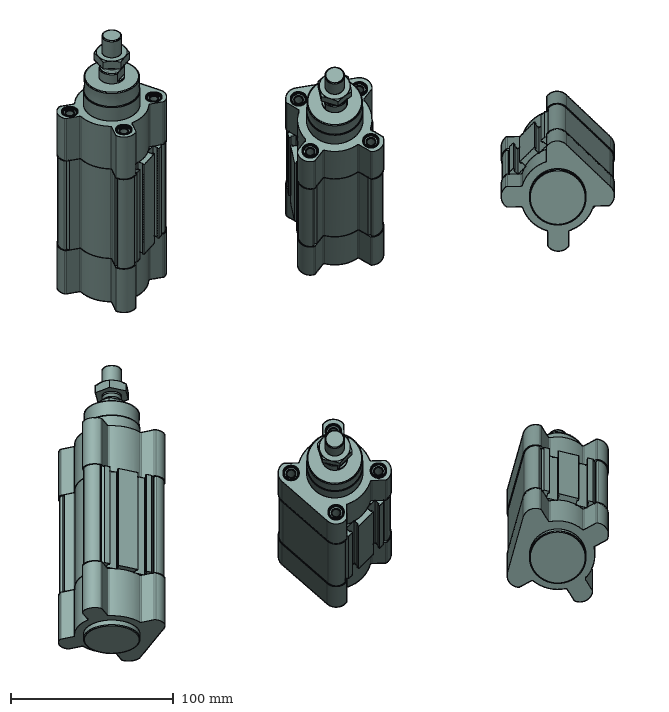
import cadquery as cq
import math

total_height = 191.9
guide_height = 3.8
rear_cap_top = 37.2
front_cap_bottom = 106.1
front_cap_top = 139.0
collar_step = 149.9
collar_top = 160.5

cap_half = 54.0 / 2
screw_pitch_half = 19.0
cap_radius = 22.8
cap_arm_half = 6.5
root_fillet = 1.0
arm_end_fillet = 1.5

barrel_half = 52.8 / 2
barrel_radius = 22.6
barrel_arm_half = 6.3
groove_wall = 17.8
groove_floor = 25.0
lip_end = 15.5
slot_low = 6.5
slot_high = 12.0
slot_undercut = 0.8
slot_lip = 1.3
slot_floor = 21.7

collar_radius = 35.0 / 2
collar_edge = 0.5
upper_collar_radius = 34.2 / 2
upper_collar_sag = 0.2

recess_diameters = (10.2, 9.0, 8.0, 6.0, 5.0)
recess_step = 0.4
drill_depth = 15.4
drill_tip_angle = 118.0

rod_radius = 16.0 / 2
rod_shoulder = 168.0
rod_edge = 0.5
flat_bottom = 161.5
flat_width = 13.0
neck_radius = 10.2 / 2
neck_fillet = 0.8
neck_top = 170.0
thread_radius = 12.0 / 2
thread_bottom = 172.0
thread_edge = 0.5

nut_bottom = 173.0
nut_height = 6.0
nut_width = 19.0
nut_chamfer_angle = 30.0

axis_start = (0, 0, 0)
axis_end = (0, 1, 0)


def diagonal_point(along, across, angle):
    """Point of an arm, measured along and across a diagonal at the given angle in degrees."""
    c = math.cos(math.radians(angle))
    s = math.sin(math.radians(angle))
    return (along * c - across * s, along * s + across * c)


def distance_from_axis(edge):
    """Distance of an upright edge from the cylinder axis."""
    return math.hypot(edge.Center().x, edge.Center().y)


def is_arm_root(edge):
    """True for the upright edges where an arm leaves the round middle."""
    return distance_from_axis(edge) < cap_radius + root_fillet


def is_arm_end(edge):
    """True for the upright edges where a flank of an arm meets its rounded corner."""
    return distance_from_axis(edge) > screw_pitch_half * math.sqrt(2)


def make_cap(bottom, top):
    """Round middle with four corner arms, the gap on the +Y side filled in flat."""
    corner_radius = cap_half - screw_pitch_half
    screw_reach = screw_pitch_half * math.sqrt(2)
    root = math.sqrt(cap_radius**2 - cap_arm_half**2)
    shoulder = screw_reach + math.sqrt(corner_radius**2 - cap_arm_half**2)
    tip = screw_reach + corner_radius

    first_root = diagonal_point(root, -cap_arm_half, 45)
    outline = cq.Workplane("XY", origin=(0, 0, bottom)).moveTo(*first_root)
    for angle in (45, 135, 225, 315):
        outline = (
            outline.lineTo(*diagonal_point(shoulder, -cap_arm_half, angle))
            .threePointArc(diagonal_point(tip, 0, angle), diagonal_point(shoulder, cap_arm_half, angle))
            .lineTo(*diagonal_point(root, cap_arm_half, angle))
            .threePointArc(
                diagonal_point(cap_radius, 0, angle + 45),
                diagonal_point(root, -cap_arm_half, angle + 90),
            )
        )
    arms = outline.close().extrude(top - bottom)
    arms = arms.edges("|Z").filter(is_arm_root).fillet(root_fillet)
    arms = arms.edges("|Z").filter(is_arm_end).fillet(arm_end_fillet)
    infill = (
        cq.Workplane("XY", origin=(0, cap_half / 2, bottom))
        .rect(2 * screw_pitch_half, cap_half)
        .extrude(top - bottom)
    )
    return arms.union(infill)


def make_barrel(bottom, top):
    """Profiled tube between the caps, with two T-slots on each of the -X and +X sides."""
    corner_radius = barrel_half - screw_pitch_half
    corner_bend = screw_pitch_half + corner_radius * math.sqrt(0.5)
    groove_round = screw_pitch_half - groove_wall
    groove_edge = barrel_half - groove_round
    groove_bend = screw_pitch_half - groove_round * math.sqrt(0.5)
    groove_bend_edge = groove_edge + groove_round * math.sqrt(0.5)
    root = math.sqrt(barrel_radius**2 - barrel_arm_half**2)
    root_x = (root - barrel_arm_half) * math.sqrt(0.5)
    root_y = (root + barrel_arm_half) * math.sqrt(0.5)
    flank_end = groove_floor - barrel_arm_half * math.sqrt(2)
    slope_end = lip_end + barrel_half - groove_floor

    side = [
        (barrel_half, slot_low),
        (barrel_half - slot_lip, slot_low),
        (barrel_half - slot_lip, slot_low - slot_undercut),
        (slot_floor, slot_low - slot_undercut),
        (slot_floor, slot_high + slot_undercut),
        (barrel_half - slot_lip, slot_high + slot_undercut),
        (barrel_half - slot_lip, slot_high),
        (barrel_half, slot_high),
        (barrel_half, lip_end),
        (groove_floor, slope_end),
        (groove_floor, groove_wall),
        (groove_edge, groove_wall),
    ]
    lower_side = [(x, -y) for x, y in reversed(side)]

    half = (
        cq.Workplane("XY", origin=(0, 0, bottom))
        .lineTo(0, -barrel_radius)
        .threePointArc(
            (root_x / 2, -math.sqrt(barrel_radius**2 - root_x**2 / 4)),
            (root_x, -root_y),
        )
        .lineTo(flank_end, -groove_floor)
        .lineTo(groove_wall, -groove_floor)
        .lineTo(groove_wall, -groove_edge)
        .threePointArc((groove_bend, -groove_bend_edge), (screw_pitch_half, -barrel_half))
        .threePointArc((corner_bend, -corner_bend), (barrel_half, -screw_pitch_half))
        .threePointArc((groove_bend_edge, -groove_bend), lower_side[0])
    )
    for point in lower_side[1:] + side:
        half = half.lineTo(*point)
    half = (
        half.threePointArc((groove_bend_edge, groove_bend), (barrel_half, screw_pitch_half))
        .threePointArc((corner_bend, corner_bend), (screw_pitch_half, barrel_half))
        .lineTo(0, barrel_half)
        .close()
        .extrude(top - bottom)
    )
    root_edge = cq.selectors.NearestToPointSelector((root_x, -root_y, (bottom + top) / 2))
    half = half.edges("|Z").edges(root_edge).fillet(root_fillet)
    return half.union(half.mirror("YZ"))


def make_guide():
    """Centring boss under the rear cap."""
    return (
        cq.Workplane("XY")
        .circle(collar_radius)
        .extrude(guide_height)
        .faces("<Z")
        .edges()
        .chamfer(collar_edge)
    )


def make_collar():
    """Front collar: plain lower part and a slightly hollow upper part."""
    middle = (collar_step + collar_top) / 2
    return (
        cq.Workplane("XZ")
        .moveTo(0, front_cap_top)
        .lineTo(collar_radius, front_cap_top)
        .lineTo(collar_radius, collar_step - collar_edge)
        .lineTo(upper_collar_radius, collar_step)
        .threePointArc(
            (upper_collar_radius - upper_collar_sag, middle),
            (upper_collar_radius, collar_top - collar_edge),
        )
        .lineTo(upper_collar_radius - collar_edge, collar_top)
        .lineTo(0, collar_top)
        .close()
        .revolve(360, axis_start, axis_end)
    )


def make_screw_hole():
    """Shallow stepped recess with a narrower drilled hole, opening upwards at height 0."""
    recess_rings = [diameter / 2 for diameter in recess_diameters]
    drill_radius = recess_rings[-1]
    tip = -drill_depth - drill_radius / math.tan(math.radians(drill_tip_angle / 2))
    hole = cq.Workplane("XZ").lineTo(recess_rings[0], 0)
    for level, (outer, inner) in enumerate(zip(recess_rings, recess_rings[1:]), start=1):
        hole = hole.lineTo(outer, -level * recess_step).lineTo(inner, -level * recess_step)
    return (
        hole.lineTo(drill_radius, -drill_depth)
        .lineTo(0, tip)
        .close()
        .revolve(360, axis_start, axis_end)
    )


def make_housing():
    """Guide boss, caps, barrel and collar in one solid, with four screw holes in the front cap."""
    housing = (
        make_guide()
        .union(make_cap(guide_height, rear_cap_top))
        .union(make_barrel(rear_cap_top, front_cap_bottom))
        .union(make_cap(front_cap_bottom, front_cap_top))
        .union(make_collar())
    )
    hole = make_screw_hole()
    for x in (-screw_pitch_half, screw_pitch_half):
        for y in (-screw_pitch_half, screw_pitch_half):
            housing = housing.cut(hole.translate((x, y, front_cap_top)))
    return housing


def make_rod():
    """Piston rod on top of the collar: wrench flats, neck and a plain thread stud."""
    rod = (
        cq.Workplane("XZ")
        .moveTo(0, collar_top)
        .lineTo(rod_radius, collar_top)
        .lineTo(rod_radius, rod_shoulder - rod_edge)
        .lineTo(rod_radius - rod_edge, rod_shoulder)
        .lineTo(neck_radius + neck_fillet, rod_shoulder)
        .radiusArc((neck_radius, rod_shoulder + neck_fillet), neck_fillet)
        .lineTo(neck_radius, neck_top)
        .lineTo(thread_radius, thread_bottom)
        .lineTo(thread_radius, total_height - thread_edge)
        .lineTo(thread_radius - thread_edge, total_height)
        .lineTo(0, total_height)
        .close()
        .revolve(360, axis_start, axis_end)
    )
    flat_height = rod_shoulder - flat_bottom
    for side in (-1, 1):
        cutter_x = side * (flat_width / 2 + rod_radius)
        cutter = (
            cq.Workplane("XY", origin=(cutter_x, 0, flat_bottom))
            .rect(2 * rod_radius, 2 * rod_radius)
            .extrude(flat_height)
        )
        rod = rod.cut(cutter)
    return rod


def make_nut():
    """Hexagon nut with its flats on the -X and +X sides and chamfered upper corners."""
    corner_radius = nut_width / math.sqrt(3)
    drop = (corner_radius - nut_width / 2) * math.tan(math.radians(nut_chamfer_angle))
    hexagon = (
        cq.Workplane("XY", origin=(0, 0, nut_bottom))
        .polygon(6, 2 * corner_radius)
        .extrude(nut_height)
        .rotate((0, 0, 0), (0, 0, 1), 30)
    )
    top = nut_bottom + nut_height
    envelope = (
        cq.Workplane("XZ")
        .moveTo(0, nut_bottom)
        .lineTo(corner_radius, nut_bottom)
        .lineTo(corner_radius, top - drop)
        .lineTo(nut_width / 2, top)
        .lineTo(0, top)
        .close()
        .revolve(360, axis_start, axis_end)
    )
    bore = cq.Workplane("XY", origin=(0, 0, nut_bottom)).circle(thread_radius).extrude(nut_height)
    return hexagon.intersect(envelope).cut(bore)


housing = make_housing()
rod = make_rod()
nut = make_nut()

result = cq.Compound.makeCompound([housing.val(), rod.val(), nut.val()])